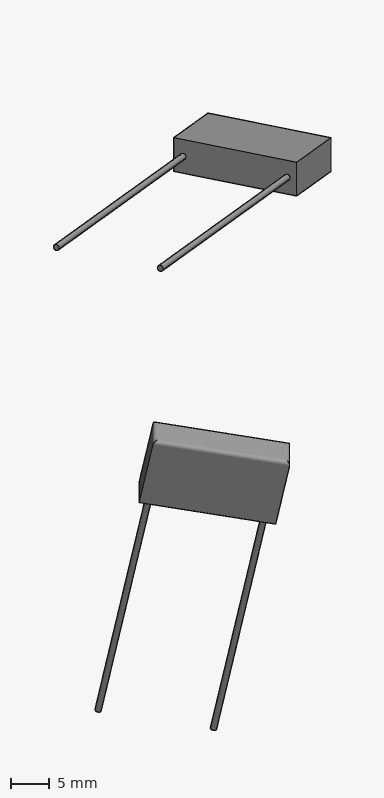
import cadquery as cq

total_length = 45.0

body_width = 18.0
body_depth = 9.9
body_height = 4.72
back_edge_radius = 0.5

lead_diameter = 0.85
lead_spacing = 15.2
lead_length = total_length - body_depth

lead_face_y = total_length / 2 - body_depth


def make_body():
    """Rectangular body with the four edges of its back face (+Y) rounded."""
    block = cq.Workplane("XY").box(body_width, body_depth, body_height)
    rounded_block = block.faces(">Y").edges().fillet(back_edge_radius)
    return rounded_block.translate((0, lead_face_y + body_depth / 2, 0))


def make_lead(x):
    """Straight round wire running from the front face of the body toward -Y."""
    lead_start = cq.Workplane("XZ", origin=(x, lead_face_y, 0))
    return lead_start.circle(lead_diameter / 2).extrude(lead_length)


body = make_body()

leads = []
for side in (-1, 1):
    leads.append(make_lead(side * lead_spacing / 2).val())

result = cq.Compound.makeCompound([body.val(), *leads])